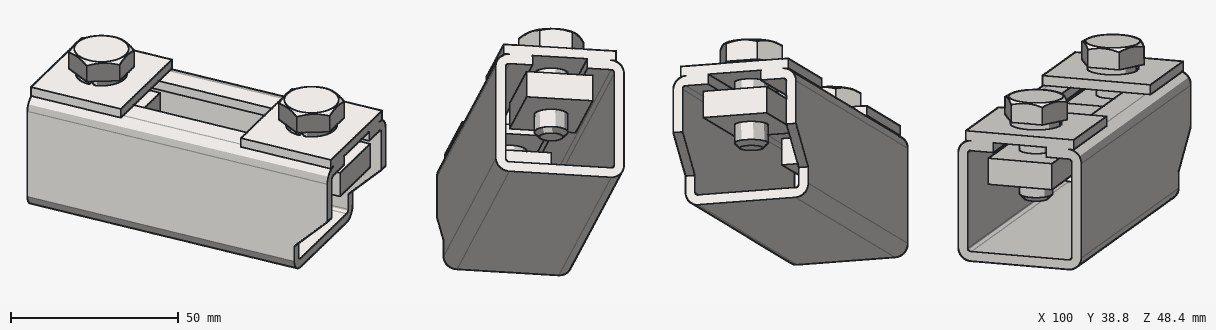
import cadquery as cq
import math

length = 100.0
channel_width = 38.8
channel_height = 37.0
wall = 3.0
bend_radius = 4.0
slot_width = 16.6

notch_length = 11.0
notch_height = 9.0

plate_length = 30.0
plate_width = 34.0
plate_thickness = 3.0

bolt_diameter = 10.0
bolt_tip_height = 17.0
bolt_tip_chamfer = 1.5
hexagon_sides = 6
head_flats = 17.0
head_height = 6.4
head_face_diameter = 16.2
head_chamfer_angle = 30.0

washer_diameter = 15.4
washer_thickness = 2.0
split_width = 1.5
split_angle = 30.0

nut_length = 29.0
nut_width = 20.0
nut_base_height = 24.0
nut_thickness = 8.0

plate_top = channel_height + plate_thickness
head_base = plate_top + washer_thickness
end_centers = (plate_length / 2, length - plate_length / 2)


def bar_along_x(width, height, corner_radius):
    bar = cq.Workplane("XY").box(length, width, height, centered=(False, True, False))
    return bar.edges("|X").fillet(corner_radius)


def make_channel():
    outer = bar_along_x(channel_width, channel_height, bend_radius)
    bore = bar_along_x(channel_width - 2 * wall, channel_height - 2 * wall, bend_radius - wall)
    slot = cq.Workplane("XY").workplane(offset=channel_height / 2).box(
        length, slot_width, channel_height, centered=(False, True, False)
    )
    notch_start = length - notch_length
    notch = (
        cq.Workplane("XZ")
        .moveTo(notch_start, 0)
        .lineTo(notch_start, notch_height)
        .lineTo(length, notch_height + notch_length)
        .lineTo(length, 0)
        .close()
        .extrude(channel_width / 2, both=True)
    )
    return outer.cut(bore.translate((0, 0, wall))).cut(slot).cut(notch)


def block(size_x, size_y, size_z, base):
    return cq.Workplane("XY").workplane(offset=base).box(
        size_x, size_y, size_z, centered=(True, True, False)
    )


def make_head():
    corner_diameter = head_flats / math.cos(math.pi / hexagon_sides)
    hexagon = (
        cq.Workplane("XY")
        .workplane(offset=head_base)
        .polygon(hexagon_sides, corner_diameter)
        .extrude(head_height)
        .rotate((0, 0, 0), (0, 0, 1), 180 / hexagon_sides)
    )
    corner_radius = corner_diameter / 2
    face_radius = head_face_diameter / 2
    rim_drop = (corner_radius - face_radius) * math.tan(math.radians(head_chamfer_angle))
    head_top = head_base + head_height
    blank = (
        cq.Workplane("XZ")
        .moveTo(0, head_base)
        .lineTo(corner_radius, head_base)
        .lineTo(corner_radius, head_top - rim_drop)
        .lineTo(face_radius, head_top)
        .lineTo(0, head_top)
        .close()
        .revolve(360, (0, 0, 0), (0, 1, 0))
    )
    return hexagon.intersect(blank)


def make_shank():
    shank = (
        cq.Workplane("XY")
        .workplane(offset=bolt_tip_height)
        .circle(bolt_diameter / 2)
        .extrude(head_base - bolt_tip_height)
    )
    return shank.faces("<Z").chamfer(bolt_tip_chamfer)


def make_washer():
    ring = (
        cq.Workplane("XY")
        .workplane(offset=plate_top)
        .circle(washer_diameter / 2)
        .circle(bolt_diameter / 2)
        .extrude(washer_thickness)
    )
    half_lean = washer_thickness / 2 * math.tan(math.radians(split_angle))
    half_split = split_width / 2
    split = (
        cq.Workplane("XZ")
        .moveTo(half_lean - half_split, plate_top)
        .lineTo(half_lean + half_split, plate_top)
        .lineTo(half_split - half_lean, head_base)
        .lineTo(-half_split - half_lean, head_base)
        .close()
        .extrude(washer_diameter)
    )
    return ring.cut(split)


def make_clamp():
    plate = block(plate_length, plate_width, plate_thickness, channel_height)
    nut = block(nut_length, nut_width, nut_thickness, nut_base_height)
    return plate.union(make_washer()).union(make_shank()).union(make_head()).union(nut)


clamp = make_clamp()
result = make_channel()
for center_x in end_centers:
    result = result.union(clamp.translate((center_x, 0, 0)))